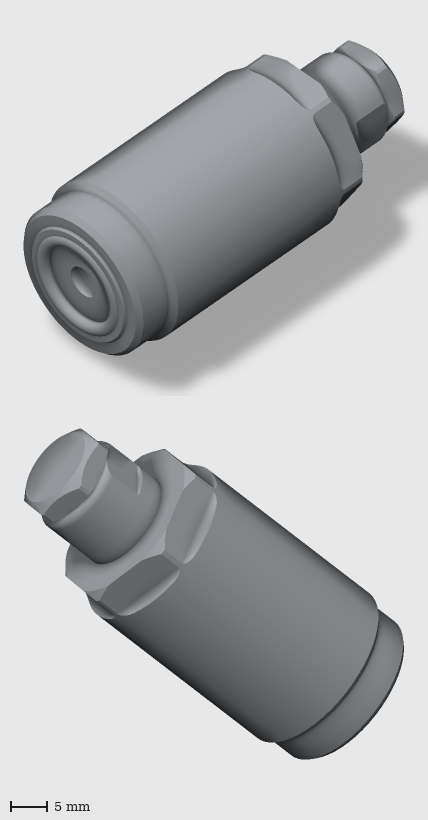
import cadquery as cq
import math

total_length = 57.85
nut_front = 54.4
neck_flat_front = 48
hex_back = 44.25
hex_flat_front = 38.8
body_front = 6.5
collar_face = 0.8
disc_face = 0.4

body_diameter = 25.15
body_radius = body_diameter / 2
collar_radius = 11.65
collar_chamfer_depth = 0.8
collar_chamfer_width = 0.7
body_chamfer = body_radius - collar_radius

hex_across_flats = 22.15
hex_chamfer_length = 1.1
hex_chamfer_width = 1.05
hex_runout_radius = 1.0

neck_radius = 7.1
neck_round = 1.3
neck_across_flats = 12.75
neck_runout_radius = 0.35

nut_across_flats = 12.7
nut_radius = 7.2
nut_back_radius = 5.7
nut_back_chamfer_length = 1.15
nut_front_radius = 6.3
nut_front_chamfer_length = 0.45

disc_radius = 9.2
disc_chamfer_width = 0.3
ring_inner_radius = 6.15
ring_outer_radius = 8.1
ring_section_radius = (ring_outer_radius - ring_inner_radius) / 2
ring_center_radius = (ring_outer_radius + ring_inner_radius) / 2
recess_depth = 1.55
hole_radius = 2.45
hole_depth = 5.8


def revolve_about_y(profile):
    """Revolve a closed radius-length profile around the Y axis."""
    return profile.revolve(360, (0, 0, 0), (0, 1, 0))


def turned_body():
    collar_edge = collar_radius - collar_chamfer_width
    profile = (
        cq.Workplane("XY")
        .moveTo(0, disc_face)
        .lineTo(disc_radius - disc_chamfer_width, disc_face)
        .lineTo(disc_radius, collar_face)
        .lineTo(collar_edge, collar_face)
        .lineTo(collar_radius, collar_face + collar_chamfer_depth)
        .lineTo(collar_radius, body_front)
        .lineTo(body_radius, body_front + body_chamfer)
        .lineTo(body_radius, hex_back - hex_chamfer_length)
        .lineTo(body_radius - hex_chamfer_width, hex_back)
        .lineTo(0, hex_back)
        .close()
    )
    return revolve_about_y(profile)


def flat_cutter(flat_distance, front, back, runout_radius, outer_distance, half_width):
    """Block above a +Z flat, with its inner front edge rounded."""
    return (
        cq.Workplane("XY")
        .box(2 * half_width, back - front, outer_distance - flat_distance, centered=(True, False, False))
        .edges("<Y and <Z")
        .fillet(runout_radius)
        .translate((0, front, flat_distance))
    )


def cut_flats(solid, cutter, angles):
    for angle in angles:
        solid = solid.cut(cutter.rotate((0, 0, 0), (0, 1, 0), angle))
    return solid


def hexagonal_body():
    cutter = flat_cutter(
        hex_across_flats / 2, hex_flat_front, hex_back, hex_runout_radius, 2 * body_radius, body_radius
    )
    return cut_flats(turned_body(), cutter, range(0, 360, 60))


def neck():
    arc_offset = neck_round * (1 - math.sqrt(0.5))
    profile = (
        cq.Workplane("XY")
        .moveTo(0, hex_back)
        .lineTo(neck_radius, hex_back)
        .lineTo(neck_radius, nut_front - neck_round)
        .threePointArc(
            (neck_radius - arc_offset, nut_front - arc_offset),
            (neck_radius - neck_round, nut_front),
        )
        .lineTo(0, nut_front)
        .close()
    )
    cutter = flat_cutter(
        neck_across_flats / 2, neck_flat_front, nut_front, neck_runout_radius, 2 * neck_radius, neck_radius
    )
    return cut_flats(revolve_about_y(profile), cutter, (90, 270))


def nut():
    envelope = revolve_about_y(
        cq.Workplane("XY")
        .moveTo(0, nut_front)
        .lineTo(nut_front_radius, nut_front)
        .lineTo(nut_radius, nut_front + nut_front_chamfer_length)
        .lineTo(nut_radius, total_length - nut_back_chamfer_length)
        .lineTo(nut_back_radius, total_length)
        .lineTo(0, total_length)
        .close()
    )
    prism = (
        cq.Workplane("XZ", origin=(0, total_length, 0))
        .transformed(rotate=(0, 0, 30))
        .polygon(6, nut_across_flats, circumscribed=True)
        .extrude(total_length - nut_front)
    )
    return envelope.intersect(prism)


def front_recess():
    """Shallow flat-bottomed recess whose wall is covered by the sealing ring."""
    return cq.Workplane("XZ").circle(ring_center_radius).extrude(-recess_depth)


def sealing_ring():
    return revolve_about_y(
        cq.Workplane("XY").moveTo(ring_center_radius, ring_section_radius).circle(ring_section_radius)
    )


def center_hole():
    return cq.Workplane("XZ").circle(hole_radius).extrude(-hole_depth)


result = hexagonal_body().union(neck()).union(nut())
result = result.cut(front_recess()).union(sealing_ring()).cut(center_hole())